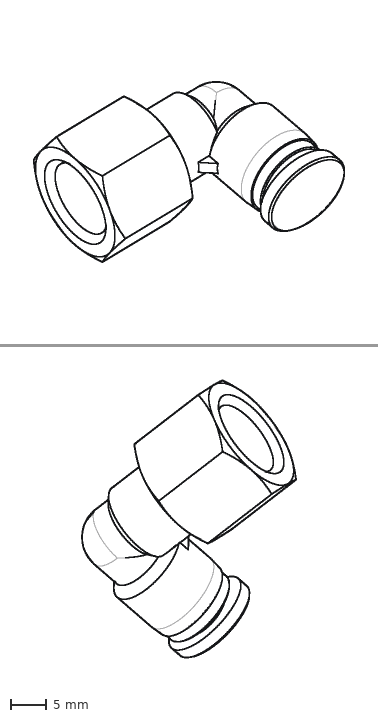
import cadquery as cq
import math


HEX_FLATS = 17.45
HEX_REAR_Y = -12.0
HEX_LENGTH = 14.0
HEX_CHAMFER_ANGLE = 30
BORE_MOUTH_D = 13.45
BORE_D = 11.35
BORE_FLOOR_D = 10.72
BORE_DEPTH = 11.0

ELBOW_D = 10.0
STEM_D = 12.0
STEM_SHOULDER_Y = -2.97
PORT_D = 12.8
PORT_SHOULDER_X = 4.65
PORT_TAPER_X = 13.05
PORT_TAPER_END_X = 15.05
PORT_TAPER_END_D = 12.47
COLLAR_D = 11.9
COLLAR_END_X = 16.95
COLLAR_CHAMFER = 0.2
RIB_OFFSET = 14.25
RIB_THICKNESS = 2.0

NECK_D = 7.9
FLANGE_START_X = 18.02
RING_END_X = 20.1
FLANGE_WIDTH_Y = 14.0
FLANGE_WIDTH_Z = 11.9
FLANGE_CHAMFER = 0.3

hex_corner_r = HEX_FLATS / math.sqrt(3)
hex_front_y = HEX_REAR_Y - HEX_LENGTH


def revolve_about_y(profile):
    """Turn an outline of (radius, y) points about the Y axis."""
    return cq.Workplane("XY").polyline(profile).close().revolve(360, (0, 0), (0, 1))


def revolve_about_x(profile):
    """Turn an outline of (x, radius) points about the X axis."""
    return cq.Workplane("XY").polyline(profile).close().revolve(360, (0, 0), (1, 0))


def make_hex_socket():
    """Hexagon with chamfered corners at both ends and a tapered blind bore."""
    prism = (
        cq.Workplane("XZ", origin=(0, HEX_REAR_Y, 0))
        .polygon(6, 2 * hex_corner_r)
        .extrude(HEX_LENGTH)
    )
    flat_r = HEX_FLATS / 2
    corner_drop = (hex_corner_r - flat_r) * math.tan(math.radians(HEX_CHAMFER_ANGLE))
    chamfer_envelope = revolve_about_y([
        (0, HEX_REAR_Y),
        (flat_r, HEX_REAR_Y),
        (hex_corner_r, HEX_REAR_Y - corner_drop),
        (hex_corner_r, hex_front_y + corner_drop),
        (flat_r, hex_front_y),
        (0, hex_front_y),
    ])
    countersink_depth = (BORE_MOUTH_D - BORE_D) / 2
    bore = revolve_about_y([
        (0, hex_front_y),
        (BORE_MOUTH_D / 2, hex_front_y),
        (BORE_D / 2, hex_front_y + countersink_depth),
        (BORE_FLOOR_D / 2, hex_front_y + BORE_DEPTH),
        (0, hex_front_y + BORE_DEPTH),
    ])
    return prism.intersect(chamfer_envelope).cut(bore)


def make_stem():
    """Round stem from the elbow corner down to the hex socket."""
    shoulder_height = (STEM_D - ELBOW_D) / 2
    return revolve_about_y([
        (0, 0),
        (ELBOW_D / 2, 0),
        (ELBOW_D / 2, STEM_SHOULDER_Y),
        (STEM_D / 2, STEM_SHOULDER_Y - shoulder_height),
        (STEM_D / 2, HEX_REAR_Y),
        (0, HEX_REAR_Y),
    ])


def make_port():
    """Stepped round tube port from the elbow corner to the collar."""
    shoulder_height = (PORT_D - ELBOW_D) / 2
    return revolve_about_x([
        (0, 0),
        (0, ELBOW_D / 2),
        (PORT_SHOULDER_X, ELBOW_D / 2),
        (PORT_SHOULDER_X + shoulder_height, PORT_D / 2),
        (PORT_TAPER_X, PORT_D / 2),
        (PORT_TAPER_END_X, PORT_TAPER_END_D / 2),
        (PORT_TAPER_END_X, COLLAR_D / 2),
        (COLLAR_END_X - COLLAR_CHAMFER, COLLAR_D / 2),
        (COLLAR_END_X, COLLAR_D / 2 - COLLAR_CHAMFER),
        (COLLAR_END_X, 0),
    ])


def make_rib():
    """Triangular rib in the inner corner between the stem and the port."""
    inner_x = STEM_D / 4
    inner_y = -PORT_D / 4
    return (
        cq.Workplane("XY")
        .polyline([
            (inner_x, inner_y),
            (RIB_OFFSET + inner_y, inner_y),
            (inner_x, inner_x - RIB_OFFSET),
        ])
        .close()
        .extrude(RIB_THICKNESS / 2, both=True)
    )


def make_elbow():
    """Stem and port joined by a spherical corner and a rib."""
    corner = cq.Workplane("XY").sphere(ELBOW_D / 2)
    return make_stem().union(make_port()).union(corner).union(make_rib())


def make_release_ring():
    """Round neck with an elliptical push flange."""
    neck = (
        cq.Workplane("YZ", origin=(COLLAR_END_X, 0, 0))
        .circle(NECK_D / 2)
        .extrude(FLANGE_START_X - COLLAR_END_X)
    )
    flange = (
        cq.Workplane("YZ", origin=(FLANGE_START_X, 0, 0))
        .ellipse(FLANGE_WIDTH_Y / 2, FLANGE_WIDTH_Z / 2)
        .extrude(RING_END_X - FLANGE_START_X)
        .faces(">X")
        .chamfer(FLANGE_CHAMFER)
    )
    return neck.union(flange)


hex_socket = make_hex_socket()
elbow = make_elbow()
release_ring = make_release_ring()

result = cq.Compound.makeCompound([hex_socket.val(), elbow.val(), release_ring.val()])